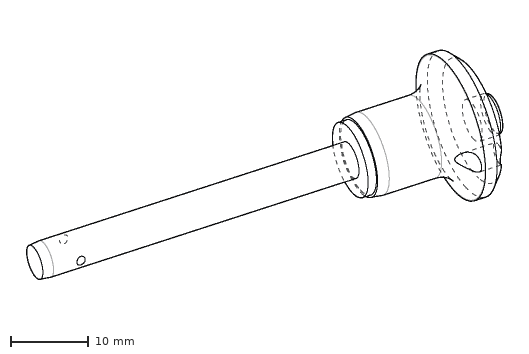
import cadquery as cq

total_length = 66.7

button_radius = 2.9
button_height = 3.1
button_chamfer = 0.4
button_end_radius = 2.75

rim_radius = 10.0
rim_chamfer = 1.5
rim_thickness = 3.15
flare_radius = 4.2
barrel_radius = 5.7
barrel_length = 7.6
band_end_radius = 5.5
band_length = 1.6
collar_radius = 5.15
collar_length = 1.2

shank_diameter = 5.0
tip_diameter = 4.7
tip_length = 1.5

ball_radius = 1.0
ball_protrusion = 0.2
ball_to_tip = 5.5

lanyard_hole_diameter = 3.0
lanyard_hole_offset = 7.55

barrel_start = collar_length + band_length
barrel_end = barrel_start + barrel_length
rim_start = barrel_end + flare_radius
rim_end = rim_start + rim_thickness
button_end = rim_end + button_height
tip_end = button_end - total_length

shank_radius = shank_diameter / 2


def make_pin_body():
    """Revolve the half outline of button, handle and shank about Y."""
    return (
        cq.Workplane("XY")
        .moveTo(0, tip_end)
        .lineTo(tip_diameter / 2, tip_end)
        .lineTo(shank_radius, tip_end + tip_length)
        .lineTo(shank_radius, 0)
        .lineTo(collar_radius, 0)
        .lineTo(collar_radius, collar_length)
        .lineTo(band_end_radius, collar_length)
        .lineTo(barrel_radius, barrel_start)
        .lineTo(barrel_radius, barrel_end)
        .radiusArc((barrel_radius + flare_radius, rim_start), flare_radius)
        .lineTo(rim_radius, rim_start)
        .lineTo(rim_radius, rim_end - rim_chamfer)
        .lineTo(rim_radius - rim_chamfer, rim_end)
        .lineTo(button_radius, rim_end)
        .lineTo(button_radius, button_end - button_chamfer)
        .lineTo(button_end_radius, button_end)
        .lineTo(0, button_end)
        .close()
        .revolve(360, (0, 0, 0), (0, 1, 0))
    )


def make_locking_ball(side):
    """Ball partly sunk in the shank; side is +1 or -1 along X."""
    center_x = side * (shank_radius + ball_protrusion - ball_radius)
    return cq.Workplane("XY").sphere(ball_radius).translate((center_x, tip_end + ball_to_tip, 0))


def make_lanyard_hole():
    """Cylinder parallel to Y that passes through the flare and the rim."""
    return (
        cq.Workplane("XZ")
        .center(lanyard_hole_offset, 0)
        .circle(lanyard_hole_diameter / 2)
        .extrude(-button_end)
    )


result = make_pin_body()
for ball_side in (1, -1):
    result = result.union(make_locking_ball(ball_side))
result = result.cut(make_lanyard_hole())